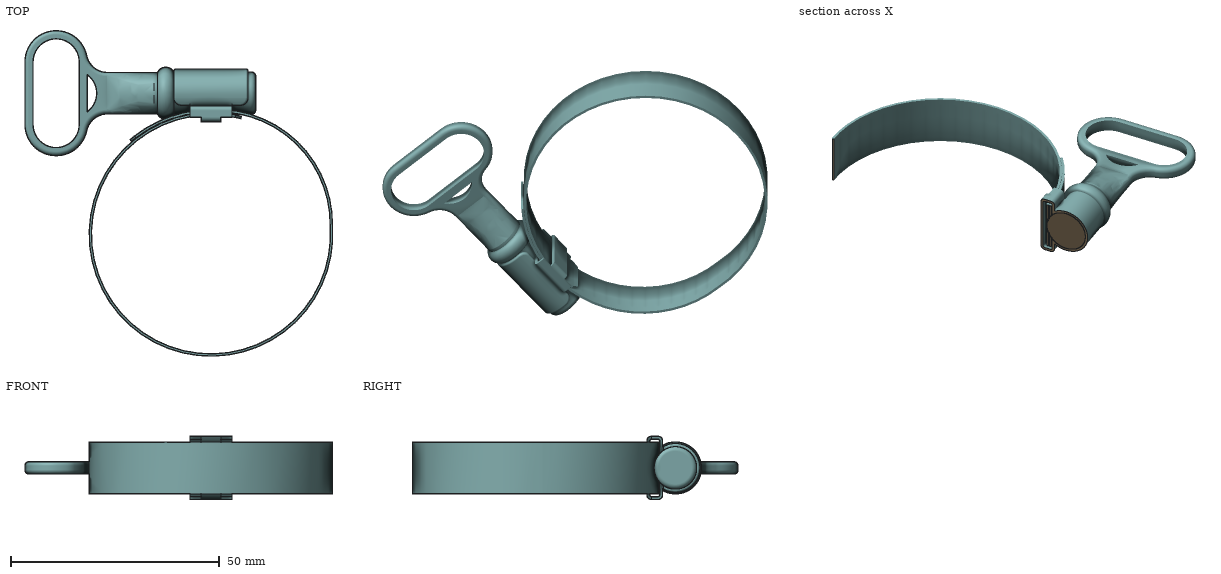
import cadquery as cq
import math


band_width = 12.4
band_thickness = 0.6
band_outer_radius = 29.2
layer_gap = 0.05
bulge_start_angle = 4
bulge_radius = 30.35
bulge_angle = 45
tail_start_angle = 90
inner_end_angle = 75.5
outer_end_angle = 130.5
end_chamfer = 1.4

screw_axis_y = 33.81
screw_radius = 5.1
shank_radius = 5.0
shank_end_x = -12.8
screw_tip_x = 10.75
tip_fillet = 1.1
bead_radius = 6.25
collar_width = 0.85

handle_thickness = 3.0
ring_outer_radius = 7.5
ring_wall = 2.0
ring_arc_offset = 7.5
ring_center_x = -37.09
handle_edge_fillet = 1.0
flare_radius = 5.0
lens_radius = 5.5
lens_apex_x = -27.4

sheet = 0.75
cover_length = 17.8
cover_edge_y = 30.9
cover_corner_radius = 1.85
cover_edge_fillet = 0.5
loop_height = 15.2
loop_top_y = 30.75
loop_bottom_y = 26.95
loop_bend_radius = 1.1
strap_width = 10.1
tongue_width = 4.7

cover_radius = screw_radius + sheet
bead_end_x = -cover_length / 2


def polar(radius, angle):
    """Point at a radius and an angle in degrees about the band axis."""
    return (radius * math.cos(math.radians(angle)), radius * math.sin(math.radians(angle)))


def make_band():
    """Coiled strip: a full turn, a bulge that lifts it one layer, and an overlapping tail."""
    inner_face = band_outer_radius - band_thickness
    tail_inner = band_outer_radius + layer_gap
    tail_outer = tail_inner + band_thickness
    turn_middle = (inner_end_angle + 360 + bulge_start_angle) / 2
    turn_end_outer = polar(band_outer_radius, bulge_start_angle)
    turn_end_inner = polar(inner_face, bulge_start_angle)
    tail_middle = (tail_start_angle + outer_end_angle) / 2
    profile = (
        cq.Workplane("XY", origin=(0, 0, -band_width / 2))
        .moveTo(*polar(band_outer_radius, inner_end_angle))
        .threePointArc(polar(band_outer_radius, turn_middle), turn_end_outer)
        .threePointArc(polar(bulge_radius, bulge_angle), polar(tail_outer, tail_start_angle))
        .threePointArc(polar(tail_outer, tail_middle), polar(tail_outer, outer_end_angle))
        .lineTo(*polar(tail_inner, outer_end_angle))
        .threePointArc(polar(tail_inner, tail_middle), polar(tail_inner, tail_start_angle))
        .threePointArc(polar(bulge_radius - band_thickness, bulge_angle), turn_end_inner)
        .threePointArc(polar(inner_face, turn_middle), polar(inner_face, inner_end_angle))
        .close()
    )
    strip = profile.extrude(band_width)
    end_points = [
        polar(band_outer_radius - band_thickness / 2, inner_end_angle),
        polar(tail_inner + band_thickness / 2, outer_end_angle),
    ]
    for x, y in end_points:
        for z in (-band_width / 2, band_width / 2):
            corner = cq.selectors.NearestToPointSelector((x, y, z))
            strip = strip.edges(corner).chamfer(end_chamfer)
    return strip


def make_screw_shaft():
    """Turned part of the screw: collar, rounded bead and the plain body inside the housing."""
    bead_middle_x = (shank_end_x + bead_end_x) / 2
    profile = (
        cq.Workplane("XZ", origin=(0, screw_axis_y, 0))
        .moveTo(shank_end_x - collar_width, 0)
        .lineTo(shank_end_x - collar_width, shank_radius)
        .lineTo(shank_end_x, shank_radius)
        .threePointArc((bead_middle_x, bead_radius), (bead_end_x, screw_radius))
        .lineTo(screw_tip_x, screw_radius)
        .lineTo(screw_tip_x, 0)
        .close()
    )
    shaft = profile.revolve(360, (0, 0, 0), (1, 0, 0))
    return shaft.faces(">X").edges().fillet(tip_fillet)


def flare_center():
    """Center of the upper concave arc, tangent to the ring arc and to the side of the shank."""
    y = shank_radius + flare_radius
    reach = ring_outer_radius + flare_radius
    x = ring_center_x + math.sqrt(reach**2 - (y - ring_arc_offset) ** 2)
    return x, y


def make_grip():
    """Flat finger ring with its flared neck, rounded along the outer edge."""
    flare_x, flare_y = flare_center()
    toward_flare = math.atan2(flare_y - ring_arc_offset, flare_x - ring_center_x)
    touch_x = ring_center_x + ring_outer_radius * math.cos(toward_flare)
    touch_y = ring_arc_offset + ring_outer_radius * math.sin(toward_flare)
    flare_middle = (math.pi + toward_flare + 1.5 * math.pi) / 2
    bend_x = flare_x + flare_radius * math.cos(flare_middle)
    bend_y = flare_y + flare_radius * math.sin(flare_middle)
    ring_left = ring_center_x - ring_outer_radius
    ring_top = ring_arc_offset + ring_outer_radius

    base = cq.Workplane("XY", origin=(0, screw_axis_y, -handle_thickness / 2))
    grip = (
        base.moveTo(flare_x, -shank_radius)
        .lineTo(flare_x, shank_radius)
        .threePointArc((bend_x, bend_y), (touch_x, touch_y))
        .threePointArc((ring_center_x, ring_top), (ring_left, ring_arc_offset))
        .lineTo(ring_left, -ring_arc_offset)
        .threePointArc((ring_center_x, -ring_top), (touch_x, -touch_y))
        .threePointArc((bend_x, -bend_y), (flare_x, -shank_radius))
        .close()
        .extrude(handle_thickness)
    )
    rounded_zone = cq.selectors.BoxSelector(
        (ring_left - ring_wall, screw_axis_y - 2 * ring_top, -handle_thickness),
        (flare_x - handle_edge_fillet / 2, screw_axis_y + 2 * ring_top, handle_thickness),
    )
    grip = grip.faces("|Z").edges(rounded_zone).fillet(handle_edge_fillet)

    ring_inner_radius = ring_outer_radius - ring_wall
    slot = (
        base.center(ring_center_x, 0)
        .slot2D(2 * (ring_arc_offset + ring_inner_radius), 2 * ring_inner_radius, 90)
        .extrude(handle_thickness)
    )
    ring_right = ring_center_x + ring_outer_radius
    lens_depth = lens_apex_x - ring_right
    lens_half_height = math.sqrt(lens_radius**2 - (lens_radius - lens_depth) ** 2)
    lens = (
        base.moveTo(ring_right, -lens_half_height)
        .threePointArc((lens_apex_x, 0), (ring_right, lens_half_height))
        .close()
        .extrude(handle_thickness)
    )
    return grip.cut(slot).cut(lens)


def make_neck():
    """Transition from the flat grip section to the round shank."""
    start_x = flare_center()[0]
    length = shank_end_x - collar_width - start_x
    flat_section = (
        cq.Sketch()
        .rect(2 * shank_radius, handle_thickness)
        .vertices()
        .fillet(handle_edge_fillet)
    )
    round_section = cq.Sketch().circle(shank_radius).moved(cq.Location((0, 0, length)))
    return (
        cq.Workplane("YZ", origin=(start_x, screw_axis_y, 0))
        .placeSketch(flat_section, round_section)
        .loft()
    )


def make_screw():
    """Thumb screw: shaft, neck and finger grip in one piece."""
    return make_screw_shaft().union(make_neck()).union(make_grip())


def cylinder(radius, length):
    """Cylinder on the screw axis, centered on the housing."""
    end_plane = cq.Plane(origin=(-length / 2, screw_axis_y, 0), xDir=(0, 0, 1), normal=(1, 0, 0))
    return cq.Workplane(end_plane).circle(radius).extrude(length)


def make_cover():
    """Rounded cover over the screw, with softened outer edges and legs down to the strap."""
    top_y = screw_axis_y + cover_radius + sheet
    leg_bottom_y = loop_top_y - sheet
    outline = (
        cq.Workplane("XY", origin=(0, (cover_edge_y + top_y) / 2, 0))
        .rect(cover_length, top_y - cover_edge_y)
        .extrude(2 * cover_radius, both=True)
        .edges("|Z and <Y")
        .fillet(cover_corner_radius)
    )
    legs = (
        cq.Workplane("XY", origin=(0, (leg_bottom_y + screw_axis_y) / 2, 0))
        .rect(strap_width, screw_axis_y - leg_bottom_y)
        .extrude(2 * cover_radius, both=True)
    )
    cover = cylinder(cover_radius, 2 * cover_length).intersect(outline.union(legs))
    return cover.edges(">X or <X").edges("%CIRCLE").fillet(cover_edge_fillet)


def make_strap():
    """Bent loop around the band, narrowed to a tongue beneath it."""
    middle_y = (loop_top_y + loop_bottom_y) / 2
    loop_depth = loop_top_y - loop_bottom_y
    tongue_top_y = loop_bottom_y + loop_bend_radius

    def rounded_block(inset, bend_radius):
        return (
            cq.Workplane("YZ", origin=(-strap_width / 2, middle_y, 0))
            .rect(loop_depth - 2 * inset, loop_height - 2 * inset)
            .extrude(strap_width)
            .edges("|X")
            .fillet(bend_radius)
        )

    strap = rounded_block(0, loop_bend_radius).cut(rounded_block(sheet, loop_bend_radius - sheet))
    for side in (-1, 1):
        side_width = (strap_width - tongue_width) / 2
        side_x = side * (tongue_width + side_width) / 2
        notch = (
            cq.Workplane("XY", origin=(side_x, (tongue_top_y + loop_bottom_y) / 2, 0))
            .box(side_width, tongue_top_y - loop_bottom_y, loop_height)
        )
        strap = strap.cut(notch)
    return strap


def make_housing():
    """Cover with its strap, bored for the screw."""
    bore = cylinder(screw_radius, 2 * cover_length)
    return make_cover().cut(bore).union(make_strap().cut(bore))


screw = make_screw()
housing = make_housing()
band = make_band().cut(screw)

result = cq.Compound.makeCompound([body.solids().val() for body in (band, housing, screw)])